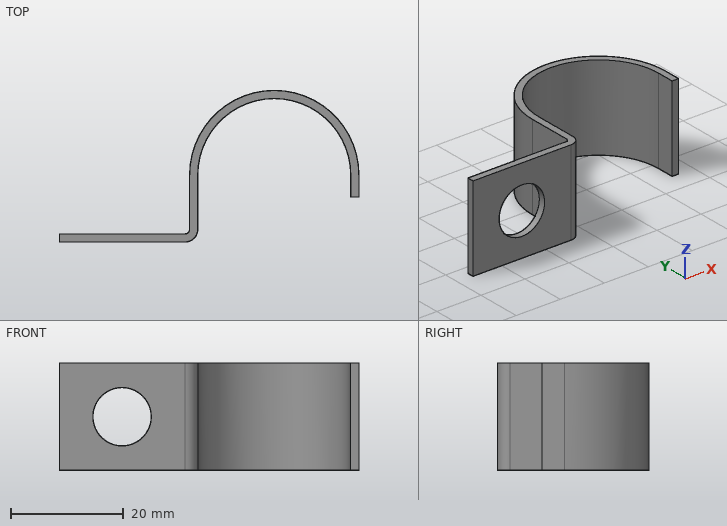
import cadquery as cq
import math

length = 53.1
depth = 26.9
width = 19.05

thickness = 1.5
saddle_radius = 15.0
bend_inner_radius = 0.8
tail_length = 3.95

hole_diameter = 10.3
hole_from_end = 11.1

bore_radius = saddle_radius - thickness
bend_outer_radius = bend_inner_radius + thickness
saddle_x = length - saddle_radius
saddle_y = depth - saddle_radius
wall_left = saddle_x - saddle_radius
wall_right = wall_left + thickness
bend_x = wall_right - bend_outer_radius
bend_y = bend_outer_radius
tail_y = saddle_y - tail_length
diagonal = math.sqrt(0.5)


def bend_midpoint(radius):
    """Middle of the quarter arc joining the flange to the upright wall."""
    return (bend_x + radius * diagonal, bend_y - radius * diagonal)


def make_strip():
    """Bent strip: flange, upright wall, half-round saddle and short tail."""
    return (
        cq.Workplane("XY")
        .moveTo(0, 0)
        .lineTo(bend_x, 0)
        .threePointArc(bend_midpoint(bend_outer_radius), (wall_right, bend_y))
        .lineTo(wall_right, saddle_y)
        .threePointArc((saddle_x, saddle_y + bore_radius), (length - thickness, saddle_y))
        .lineTo(length - thickness, tail_y)
        .lineTo(length, tail_y)
        .lineTo(length, saddle_y)
        .threePointArc((saddle_x, depth), (wall_left, saddle_y))
        .lineTo(wall_left, bend_y)
        .threePointArc(bend_midpoint(bend_inner_radius), (bend_x, thickness))
        .lineTo(0, thickness)
        .close()
        .extrude(width)
    )


def make_hole():
    """Cylinder through the flange, centred across the strip width."""
    return (
        cq.Workplane("XZ")
        .center(hole_from_end, width / 2)
        .circle(hole_diameter / 2)
        .extrude(-thickness)
    )


result = make_strip().cut(make_hole())